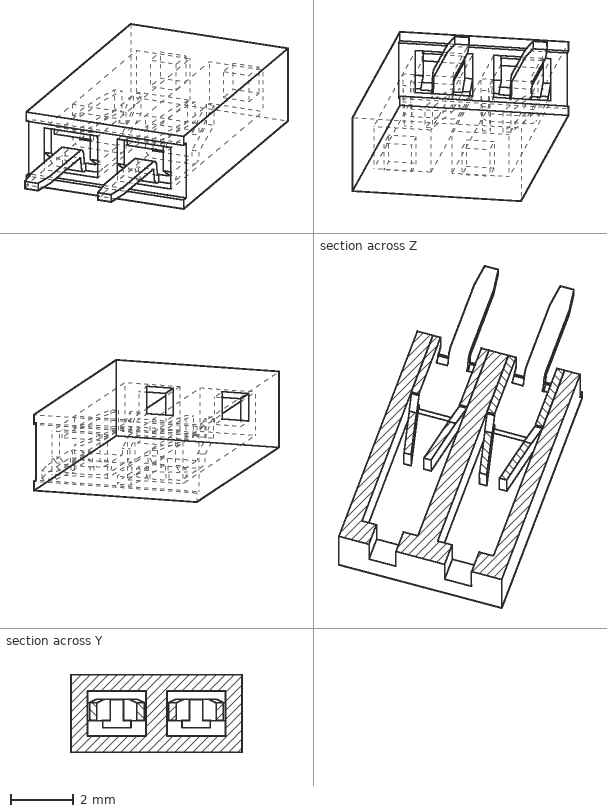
import cadquery as cq
import math

TOTAL_LENGTH = 11.5
HOUSING_WIDTH = 5.49
HOUSING_HEIGHT = 2.5
HOUSING_LENGTH = 8.5
TAIL_REACH = TOTAL_LENGTH - HOUSING_LENGTH

LIP_THICKNESS = 0.31
LIP_DEPTH = 0.21
REAR_WALL = 0.8
ENTRY_HOLE = 0.9
CONTACT_COUNT = 2
CONTACT_PITCH = 2.54

BOX_WIDTH = 1.86
BOX_HEIGHT = 1.43
BOX_LENGTH = 2.3
SHEET = 0.25
INNER_BEND = 0.03
OUTER_BEND = INNER_BEND + SHEET
FLOOR_SETBACK = 0.44
ROOF_SETBACK = 0.23
WALL_FRONT_RISE = 0.59

ARM_LENGTH = 2.3
ARM_HALF_GAP = 0.21
ARM_BOTTOM = -0.23
ARM_ROOT_TOP = 0.32
ARM_TOP = BOX_HEIGHT / 2 - SHEET
ARM_TOP_SLOPE_SHARE = 0.6

TAIL_WIDTH = 0.65
TIP_WIDTH = 0.46
TIP_LENGTH = 0.8
LEG_SETBACK = 0.02
LEG_LEAN = 9.0

FACE_Y = LIP_DEPTH
BOX_REAR_Y = FACE_Y + BOX_LENGTH
FLOOR_Y = FACE_Y + FLOOR_SETBACK
BOX_BOTTOM = -BOX_HEIGHT / 2
CONTACT_XS = [(i - (CONTACT_COUNT - 1) / 2) * CONTACT_PITCH for i in range(CONTACT_COUNT)]


def block(width, y_start, y_end, height):
    """Box centred on X and Z that spans the given Y range."""
    return cq.Workplane("XY").box(width, y_end - y_start, height).translate((0, (y_start + y_end) / 2, 0))


def side_prism(points, width):
    """Prism of a (Y, Z) outline, centred on X."""
    return cq.Workplane("YZ").polyline(points).close().extrude(width / 2, both=True)


def make_housing():
    body = block(HOUSING_WIDTH, 0, HOUSING_LENGTH, HOUSING_HEIGHT)
    body = body.cut(block(HOUSING_WIDTH, 0, FACE_Y, HOUSING_HEIGHT - 2 * LIP_THICKNESS))
    cavity = block(BOX_WIDTH, FACE_Y, HOUSING_LENGTH - REAR_WALL, BOX_HEIGHT)
    entry = block(ENTRY_HOLE, FACE_Y, HOUSING_LENGTH, ENTRY_HOLE)
    for x in CONTACT_XS:
        body = body.cut(cavity.union(entry).translate((x, 0, 0)))
    return body


def make_contact_box():
    """Sheet-metal tube with rounded lower bends, floor and roof set back from its front."""
    box = block(BOX_WIDTH, FACE_Y, BOX_REAR_Y, BOX_HEIGHT).edges("|Y and <Z").fillet(OUTER_BEND)
    bore = block(BOX_WIDTH - 2 * SHEET, FACE_Y, BOX_REAR_Y, BOX_HEIGHT - 2 * SHEET)
    box = box.cut(bore.edges("|Y and <Z").fillet(INNER_BEND))
    front_relief = side_prism(
        [
            (FACE_Y, BOX_BOTTOM),
            (FLOOR_Y, BOX_BOTTOM),
            (FLOOR_Y, BOX_BOTTOM + OUTER_BEND),
            (FACE_Y, BOX_BOTTOM + WALL_FRONT_RISE),
        ],
        BOX_WIDTH,
    )
    roof_relief = block(BOX_WIDTH - 2 * SHEET, FACE_Y, FACE_Y + ROOF_SETBACK, SHEET)
    roof_relief = roof_relief.translate((0, 0, (BOX_HEIGHT - SHEET) / 2))
    return box.cut(front_relief).cut(roof_relief)


def make_left_arm():
    """Leaf that runs on from the left wall of the box and slants in to the middle."""
    tip_y = BOX_REAR_Y + ARM_LENGTH
    wall_x = -BOX_WIDTH / 2
    leaf = (
        cq.Workplane("XY", origin=(0, 0, ARM_BOTTOM))
        .moveTo(wall_x, BOX_REAR_Y)
        .lineTo(wall_x + SHEET, BOX_REAR_Y)
        .lineTo(-ARM_HALF_GAP, tip_y)
        .lineTo(-ARM_HALF_GAP - SHEET, tip_y)
        .close()
        .extrude(ARM_TOP - ARM_BOTTOM)
    )
    top_slope = side_prism(
        [
            (BOX_REAR_Y, ARM_ROOT_TOP),
            (BOX_REAR_Y + ARM_TOP_SLOPE_SHARE * ARM_LENGTH, ARM_TOP),
            (BOX_REAR_Y, ARM_TOP),
        ],
        BOX_WIDTH,
    )
    return leaf.cut(top_slope)


def make_tail():
    """Strip that leaves the box floor, climbs a leaning leg and runs out along the mid-height."""
    lean = math.tan(math.radians(LEG_LEAN))
    leg_width = SHEET / math.cos(math.radians(LEG_LEAN))
    leg_y = FACE_Y + LEG_SETBACK
    tail_top = SHEET / 2
    tail_bottom = -SHEET / 2
    floor_top = BOX_BOTTOM + SHEET

    def leg_front(z):
        return leg_y + (tail_bottom - z) * lean

    def leg_back(z):
        return leg_front(z) + leg_width

    outer_corners = [(leg_back(tail_top), tail_top), (leg_front(BOX_BOTTOM), BOX_BOTTOM)]
    inner_corners = [(leg_front(tail_bottom), tail_bottom), (leg_back(floor_top), floor_top)]
    strip = side_prism(
        [
            (-TAIL_REACH, tail_top),
            outer_corners[0],
            inner_corners[1],
            (FLOOR_Y, floor_top),
            (FLOOR_Y, BOX_BOTTOM),
            outer_corners[1],
            inner_corners[0],
            (-TAIL_REACH, tail_bottom),
        ],
        TAIL_WIDTH,
    )
    for corners, radius in ((outer_corners, OUTER_BEND), (inner_corners, INNER_BEND)):
        for y, z in corners:
            strip = strip.edges(cq.selectors.NearestToPointSelector((0, y, z))).fillet(radius)

    plan = (
        cq.Workplane("XY")
        .polyline(
            [
                (-TIP_WIDTH / 2, -TAIL_REACH),
                (TIP_WIDTH / 2, -TAIL_REACH),
                (TAIL_WIDTH / 2, TIP_LENGTH - TAIL_REACH),
                (TAIL_WIDTH / 2, FLOOR_Y),
                (-TAIL_WIDTH / 2, FLOOR_Y),
                (-TAIL_WIDTH / 2, TIP_LENGTH - TAIL_REACH),
            ]
        )
        .close()
        .extrude(BOX_HEIGHT / 2, both=True)
    )
    return strip.intersect(plan)


def make_contact():
    left_arm = make_left_arm()
    return make_contact_box().union(left_arm).union(left_arm.mirror("YZ")).union(make_tail())


housing = make_housing()
contact = make_contact()
contacts = [contact.translate((x, 0, 0)) for x in CONTACT_XS]

result = cq.Compound.makeCompound([housing.val(), *[c.val() for c in contacts]])